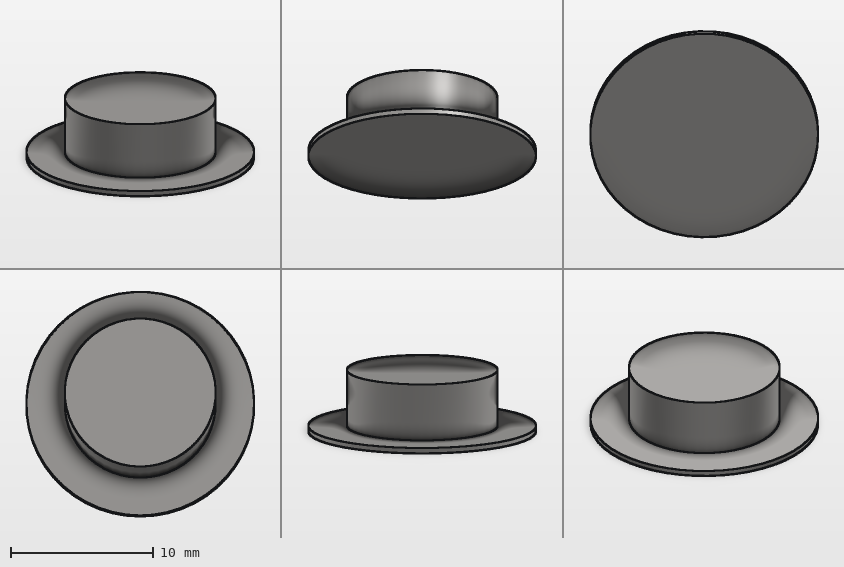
import cadquery as cq

flange_diameter = 16.0
flange_thickness = 0.4
boss_diameter = 10.6
total_height = 4.4

boss_height = total_height - flange_thickness

flange = cq.Workplane("XY").circle(flange_diameter / 2).extrude(flange_thickness)

boss = (
    cq.Workplane("XY")
    .workplane(offset=flange_thickness)
    .circle(boss_diameter / 2)
    .extrude(boss_height)
)

result = flange.union(boss)